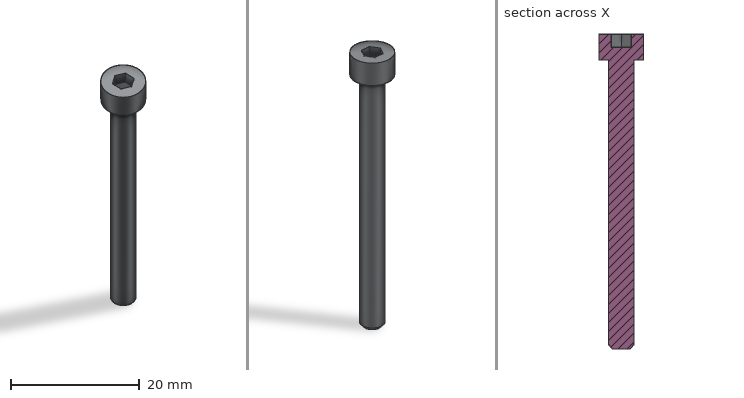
import cadquery as cq
import math

total_length = 49.0
head_diameter = 7.0
shank_diameter = 4.0
head_height = shank_diameter
tip_diameter = 2.75
tip_height = 0.7
socket_width = 3.05
socket_depth = head_height / 2

shank_length = total_length - head_height


def make_tip():
    """Cone widening from the flat end to the shank diameter."""
    return cq.Workplane(cq.Solid.makeCone(tip_diameter / 2, shank_diameter / 2, tip_height))


def make_cylinder(diameter, bottom, top):
    """Round section of the screw between two heights."""
    return cq.Workplane("XY").workplane(offset=bottom).circle(diameter / 2).extrude(top - bottom)


def make_socket():
    """Hexagonal recess with two corners on the X axis."""
    across_corners = socket_width / math.cos(math.pi / 6)
    return (
        cq.Workplane("XY")
        .workplane(offset=total_length - socket_depth)
        .polygon(6, across_corners)
        .extrude(socket_depth)
    )


shank = make_cylinder(shank_diameter, tip_height, shank_length)
head = make_cylinder(head_diameter, shank_length, total_length)

result = make_tip().union(shank).union(head).cut(make_socket())